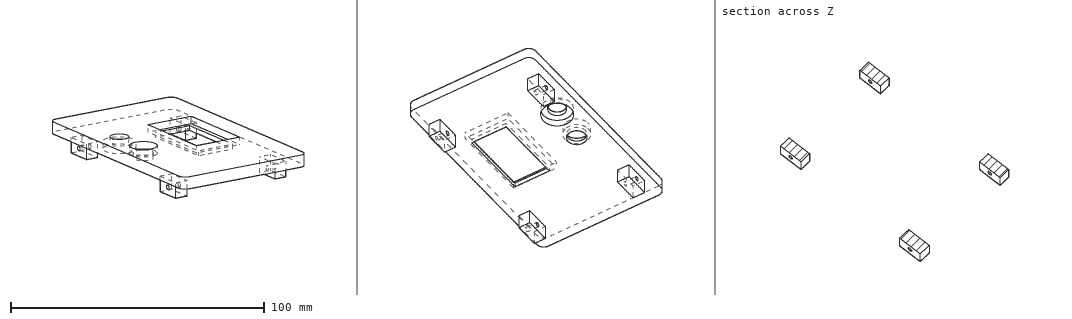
import cadquery as cq

plate_length = 95.0
plate_width = 59.0
plate_thickness = 5.0
corner_radius = 3.2

recess_length = 34.3
recess_width = 20.5
recess_depth = 3.0
recess_center = (-3.5, 9.8)
window_length = 30.5
window_width = 16.3
window_center = (-3.5, 9.9)

stepped_hole_center = (2.0, -18.0)
stepped_hole_diameter = 8.0
top_counterbore_diameter = 11.0
top_counterbore_depth = 3.0

button_hole_center = (-13.4, -19.0)
button_hole_diameter = 7.5
bottom_counterbore_diameter = 13.0
button_lip_thickness = 2.0

foot_length = 11.0
foot_height = 6.5
foot_inner_y = 20.9
foot_width = 5.2
foot_extra_width = 0.3
left_foot_x = -31.5
right_foot_x = 31.9
foot_hole_diameter = 1.8


def make_plate():
    plate = cq.Workplane("XY").box(
        plate_length, plate_width, plate_thickness, centered=(True, True, False)
    )
    return plate.edges("|Z").fillet(corner_radius)


def rectangular_cut(center, length, width, bottom_z):
    """Rectangular cutter from bottom_z up to the top of the plate."""
    sketch = cq.Workplane("XY", origin=(*center, bottom_z)).rect(length, width)
    return sketch.extrude(plate_thickness - bottom_z)


def round_cut(center, diameter, bottom_z, top_z):
    """Vertical cylindrical cutter between two heights."""
    sketch = cq.Workplane("XY", origin=(*center, bottom_z)).circle(diameter / 2)
    return sketch.extrude(top_z - bottom_z)


def make_foot(center_x, side, width):
    """Drilled foot; side is -1 for the front row and +1 for the back row."""
    center_y = side * (foot_inner_y + width / 2)
    block = cq.Workplane("XY", origin=(center_x, center_y, -foot_height)).box(
        foot_length, width, foot_height, centered=(True, True, False)
    )
    hole = (
        cq.Workplane("XZ", origin=(center_x, center_y, -foot_height / 2))
        .circle(foot_hole_diameter / 2)
        .extrude(width / 2, both=True)
    )
    return block.cut(hole)


result = make_plate()

result = result.cut(
    rectangular_cut(recess_center, recess_length, recess_width, plate_thickness - recess_depth)
)
result = result.cut(rectangular_cut(window_center, window_length, window_width, 0))

result = result.cut(round_cut(stepped_hole_center, stepped_hole_diameter, 0, plate_thickness))
result = result.cut(
    round_cut(
        stepped_hole_center,
        top_counterbore_diameter,
        plate_thickness - top_counterbore_depth,
        plate_thickness,
    )
)

result = result.cut(round_cut(button_hole_center, button_hole_diameter, 0, plate_thickness))
result = result.cut(
    round_cut(
        button_hole_center,
        bottom_counterbore_diameter,
        0,
        plate_thickness - button_lip_thickness,
    )
)

for foot_x in (left_foot_x, right_foot_x):
    result = result.union(make_foot(foot_x, 1, foot_width))
result = result.union(make_foot(left_foot_x, -1, foot_width))
result = result.union(make_foot(right_foot_x, -1, foot_width + foot_extra_width))